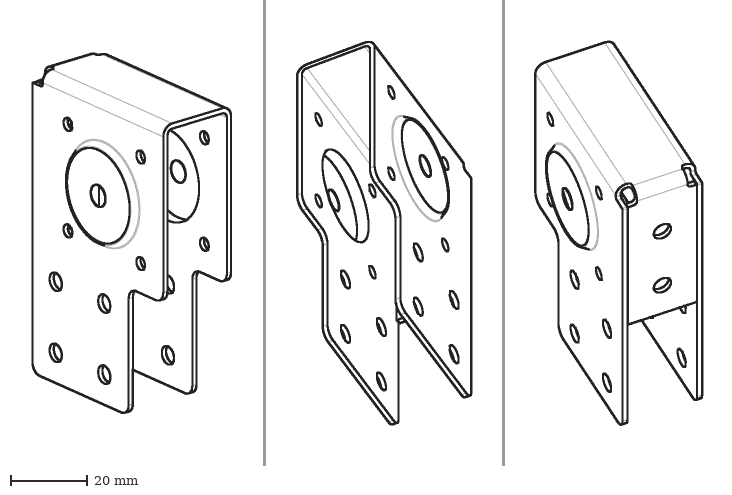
import cadquery as cq

length = 54.0
height = 86.0
width = 23.05
sheet = 1.5
bend_radius = 3.0
corner_radius = 3.0

leg_length = 39.7
step_height = 36.0

flange_bottom = 38.2
flange_gap = 0.1
flange_corner = 0.35

relief_size = 4.2
relief_radius = 0.8
flange_relief_radius = 1.2
plate_corner = 0.35

boss_x = 29.7
boss_z = 59.4
boss_base_diameter = 29.15
boss_face_diameter = 26.6
boss_blend = 0.35
boss_skin = 0.2
boss_cavity_diameter = 25.8
boss_height = (27.35 - width) / 2
boss_bore = 6.0

small_hole = 3.5
small_pitch = 30.0
large_hole = 5.0
large_pitch = 20.0
leg_hole_bottom = 8.5
flange_hole_bottom = 48.6

half_width = width / 2


def box(x_range, y_range, z_range):
    """Box spanning the given X, Y and Z ranges."""
    size = [span[1] - span[0] for span in (x_range, y_range, z_range)]
    corner = (x_range[0], y_range[0], z_range[0])
    return cq.Workplane("XY").box(*size, centered=False).translate(corner)


def make_bent_block(x_range, half_y, z_range, radius):
    """Block with rounded edges along the side bends and the end bend."""
    block = box(x_range, (-half_y, half_y), z_range)
    side_bends = block.edges("|X and >Z").fillet(radius)
    end_bend = block.edges("|Y and <X and >Z").fillet(radius)
    return side_bends.intersect(end_bend)


def make_channel():
    """Folded shell: top plate, end flange and two side plates."""
    cavity_half = half_width - sheet
    outer = make_bent_block((0, length), half_width, (0, height), bend_radius)
    cavity = make_bent_block(
        (sheet, length + sheet), cavity_half, (-sheet, height - sheet), bend_radius - sheet
    )

    flange_half = cavity_half - flange_gap
    opening = box((-sheet, sheet), (-cavity_half, cavity_half), (-sheet, height - relief_size))
    flange = box((-sheet, sheet), (-flange_half, flange_half), (flange_bottom, height - relief_size))
    flange = flange.edges("|X").fillet(flange_corner)
    return outer.cut(cavity).cut(opening.cut(flange))


def make_side_profile():
    """Stepped outline that trims both side plates."""
    outline = (
        cq.Workplane("XZ", origin=(0, width, 0))
        .polyline([
            (0, 0),
            (leg_length, 0),
            (leg_length, step_height),
            (length, step_height),
            (length, height),
            (0, height),
        ])
        .close()
        .extrude(2 * width)
    )
    return outline.edges("|Y and (not >Z)").fillet(corner_radius)


def make_relief(side):
    """Rounded cube removed at one bend corner; side is -1 or 1 along Y."""
    reach = 2 * relief_size
    cube = box((relief_size - reach, relief_size),
               (half_width - relief_size, half_width - relief_size + reach),
               (height - relief_size, height - relief_size + reach))
    cube = cube.edges("|X and <Y and <Z").fillet(flange_relief_radius)
    cube = cube.edges("(|Y and >X and <Z) or (|Z and >X and <Y)").fillet(relief_radius)
    return cube if side > 0 else cube.mirror("XZ")


def round_plate_corner(body, side):
    """Round the end of the side plate just below its relief."""
    plate_y = side * (half_width - sheet / 2)
    relief_floor = height - relief_size
    tolerance = sheet / 10
    corner_edge = cq.selectors.BoxSelector(
        (-tolerance, plate_y - tolerance, relief_floor - tolerance),
        (tolerance, plate_y + tolerance, relief_floor + tolerance),
    )
    return body.edges(corner_edge).fillet(plate_corner)


def add_boss(body, side):
    """Press a thin-faced boss, blended at its foot and rim, out of one side plate."""
    outward = cq.Vector(0, side, 0)
    cone = cq.Solid.makeCone(
        boss_base_diameter / 2,
        boss_face_diameter / 2,
        boss_height,
        pnt=cq.Vector(boss_x, side * half_width, boss_z),
        dir=outward,
    )
    margin = boss_height / 2
    near_y, far_y = sorted((side * (half_width - sheet / 2), side * (half_width + boss_height + margin)))
    foot_and_rim = cq.selectors.BoxSelector(
        (boss_x - margin, near_y, boss_z - margin), (boss_x + margin, far_y, boss_z + margin)
    )
    body = body.union(cq.Workplane(cone)).edges(foot_and_rim).fillet(boss_blend)

    cavity = cq.Solid.makeCylinder(
        boss_cavity_diameter / 2,
        sheet + boss_height - boss_skin,
        pnt=cq.Vector(boss_x, side * (half_width - sheet), boss_z),
        dir=outward,
    )
    return body.cut(cq.Workplane(cavity))


def make_cross_holes(points, diameter):
    """Cylinders along Y through both side plates at (x, z) points."""
    plane = cq.Workplane("XZ", origin=(0, width, 0))
    return plane.pushPoints(points).circle(diameter / 2).extrude(2 * width)


body = make_channel().intersect(make_side_profile())
for side in (-1, 1):
    body = body.cut(make_relief(side))
    body = round_plate_corner(body, side)
    body = add_boss(body, side)

body = body.cut(make_cross_holes([(boss_x, boss_z)], boss_bore))
small_points = [
    (boss_x + i * small_pitch / 2, boss_z + j * small_pitch / 2) for i in (-1, 1) for j in (-1, 1)
]
body = body.cut(make_cross_holes(small_points, small_hole))

leg_points = [
    (boss_x - i * large_pitch, leg_hole_bottom + j * large_pitch) for i in (0, 1) for j in (0, 1)
]
body = body.cut(make_cross_holes(leg_points, large_hole))

flange_points = [(0, flange_hole_bottom + j * large_pitch) for j in (0, 1)]
flange_holes = (
    cq.Workplane("YZ", origin=(-sheet, 0, 0))
    .pushPoints(flange_points)
    .circle(large_hole / 2)
    .extrude(3 * sheet)
)
result = body.cut(flange_holes)